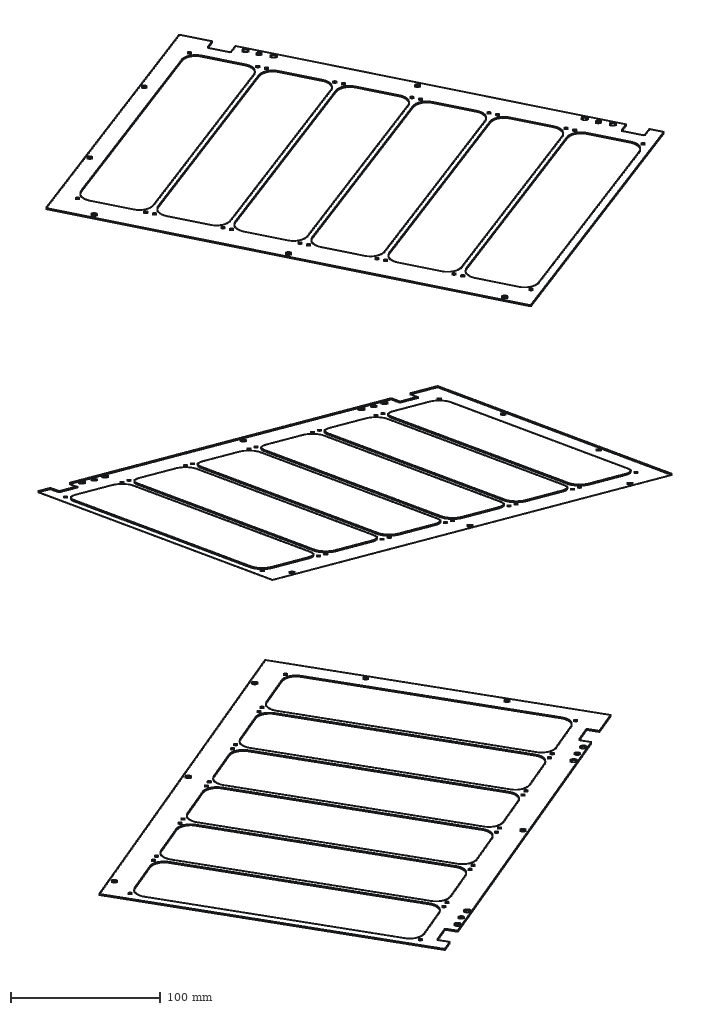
import cadquery as cq

length = 349.2
width = 244.5
thickness = 1.0

window_count = 6
window_pitch = 55.5
window_bar_width = 3.5
window_length = window_pitch - window_bar_width
window_width = 204.5
window_center_y = -0.17
window_corner_radius = 10.0
left_border = 13.5

window_hole_diameter = 2.4
window_hole_inset = 1.5
window_hole_row_offset = 102.5

notch_length = 16.8
notch_depth = 9.0
notch_corner_radius = 1.0
notch_centers_x = (-142.5, 155.7)

edge_hole_diameter = 4.0
edge_hole_inset = 4.0
front_hole_xs = (-141.5, -1.5, 154.5)
back_hole_x = -1.5
side_hole_diameter = 3.5
side_hole_inset = 3.0
side_hole_ys = (-50.0, 50.0)

triplet_centers_x = (-115.5, 129.0)
triplet_pitch = 10.0
triplet_outer_diameter = 4.5
triplet_outer_inset = 2.97

window_centers_x = [
    -length / 2 + left_border + window_length / 2 + i * window_pitch
    for i in range(window_count)
]


def drill(plate, points, diameter):
    """Cut round through holes at the given XY points."""
    return plate.cut(
        cq.Workplane("XY").pushPoints(points).circle(diameter / 2).extrude(thickness)
    )


def cut_windows(plate):
    windows = (
        cq.Workplane("XY")
        .pushPoints([(x, window_center_y) for x in window_centers_x])
        .rect(window_length, window_width)
        .extrude(thickness)
        .edges("|Z")
        .fillet(window_corner_radius)
    )
    return plate.cut(windows)


def cut_notches(plate):
    notches = (
        cq.Workplane("XY")
        .pushPoints([(x, width / 2) for x in notch_centers_x])
        .rect(notch_length, 2 * notch_depth)
        .extrude(thickness)
        .edges("|Z")
        .fillet(notch_corner_radius)
    )
    return plate.cut(notches)


def window_hole_points():
    reach = window_length / 2 - window_hole_inset
    return [
        (x + side * reach, window_center_y + row * window_hole_row_offset)
        for x in window_centers_x
        for side in (-1, 1)
        for row in (-1, 1)
    ]


def edge_hole_points():
    """Front and back edge holes; each triplet's middle hole lies in the back row."""
    row_y = width / 2 - edge_hole_inset
    front = [(x, -row_y) for x in front_hole_xs]
    back = [(x, row_y) for x in (back_hole_x, *triplet_centers_x)]
    return front + back


def side_hole_points():
    return [(-length / 2 + side_hole_inset, y) for y in side_hole_ys]


def triplet_outer_points():
    return [
        (x + side * triplet_pitch, width / 2 - triplet_outer_inset)
        for x in triplet_centers_x
        for side in (-1, 1)
    ]


plate = cq.Workplane("XY").box(length, width, thickness, centered=(True, True, False))
plate = cut_windows(plate)
plate = cut_notches(plate)
plate = drill(plate, window_hole_points(), window_hole_diameter)
plate = drill(plate, edge_hole_points(), edge_hole_diameter)
plate = drill(plate, side_hole_points(), side_hole_diameter)
plate = drill(plate, triplet_outer_points(), triplet_outer_diameter)

result = plate